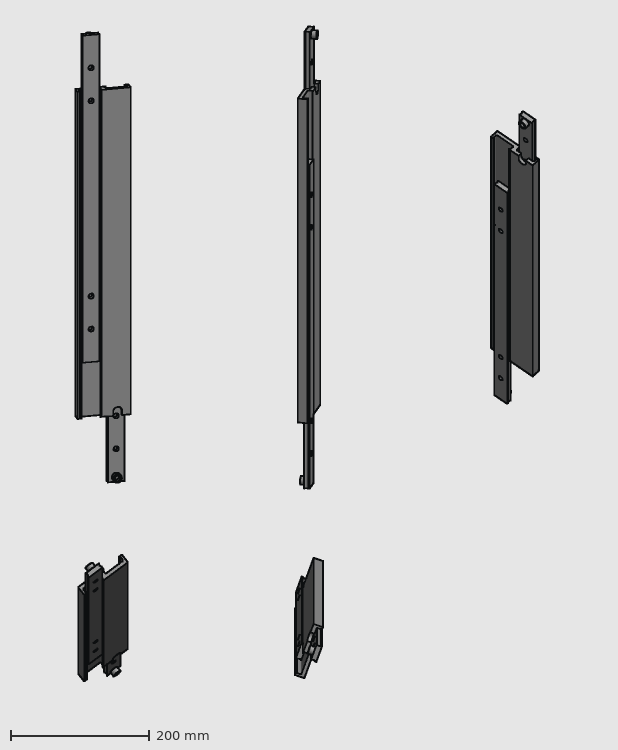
import cadquery as cq

total_length = 689.0
member_length = 499.5
housing_width = 80.0
housing_thickness = 14.5
housing_middle_z = 9.0
channel_offset = 20.0

rail_width = 25.0
rail_thickness = 8.0
rail_face = 8.6
rail_back = rail_face - rail_thickness
groove_depth = 1.5
groove_front_land = 2.0
groove_back_land = 1.0

opening_clearance = 1.7
opening_width = rail_width + 2 * opening_clearance
channel_width = 32.5
channel_floor = -1.0
channel_corner_radius = 1.5
lip_thickness = 1.0

pin_diameter = 13.0
pin_bore_diameter = 8.0
pin_end_distance = 7.5
notch_width = 14.0
notch_depth = 13.0

hole_diameter = 7.5
hole_pitch = 50.0

half_thickness = housing_thickness / 2
half_member = member_length / 2
housing_bottom = housing_middle_z - half_member
housing_top = housing_middle_z + half_member
rail_middle_z = (total_length - member_length) / 2


def x_box(x_start, x_end, y_size, z_size, y, z):
    """Box between two X positions, centred on the given Y and Z."""
    box = cq.Workplane("XY").box(abs(x_end - x_start), y_size, z_size)
    return box.translate(((x_start + x_end) / 2, y, z))


def x_cylinder(x_start, x_end, diameter, y, z):
    """Cylinder along X between two X positions."""
    plane = cq.Workplane("YZ", origin=(min(x_start, x_end), y, z))
    return plane.circle(diameter / 2).extrude(abs(x_end - x_start))


def cut_channel(body, side):
    """Lipped channel for the rail that faces X = side."""
    y = -side * channel_offset
    floor = side * channel_floor
    cavity = x_box(floor, side * (half_thickness - lip_thickness),
                   channel_width, member_length, y, housing_middle_z)
    floor_edges = "<X" if side > 0 else ">X"
    cavity = cavity.faces(floor_edges).edges("|Z").fillet(channel_corner_radius)
    opening = x_box(floor, side * half_thickness, opening_width, member_length, y, housing_middle_z)
    return body.cut(cavity).cut(opening)


def cut_notch(body, side):
    """Round-bottomed notch behind a channel, at the end where its rail slides out."""
    y = -side * channel_offset
    end_z = housing_top if side > 0 else housing_bottom
    round_z = end_z - side * (notch_depth - notch_width / 2)
    outside = -side * half_thickness
    floor = side * channel_floor
    slot = x_box(outside, floor, notch_width, abs(end_z - round_z), y, (end_z + round_z) / 2)
    return body.cut(slot).cut(x_cylinder(outside, floor, notch_width, y, round_z))


def make_housing():
    body = x_box(-half_thickness, half_thickness, housing_width, member_length, 0, housing_middle_z)
    for side in (-1, 1):
        body = cut_channel(body, side)
        body = cut_notch(body, side)
    return body


def rail_bar(side, y, z):
    """Straight bar with a rounded groove along each narrow side."""
    half_width = rail_width / 2
    face = side * rail_face
    back = side * rail_back
    groove_front = side * (rail_face - groove_front_land)
    groove_back = side * (rail_back + groove_back_land)
    groove_middle = (groove_front + groove_back) / 2
    groove_y = half_width - groove_depth
    profile = (
        cq.Workplane("XY", origin=(0, y, z - half_member))
        .moveTo(back, -half_width)
        .lineTo(groove_back, -half_width)
        .threePointArc((groove_middle, -groove_y), (groove_front, -half_width))
        .lineTo(face, -half_width)
        .lineTo(face, half_width)
        .lineTo(groove_front, half_width)
        .threePointArc((groove_middle, groove_y), (groove_back, half_width))
        .lineTo(back, half_width)
        .close()
    )
    return profile.extrude(member_length)


def make_rail(side):
    """Rail facing X = side, sliding towards Z = side, with its hollow stop pin."""
    y = -side * channel_offset
    middle_z = side * rail_middle_z
    pin_z = side * (total_length / 2 - pin_end_distance)
    back = side * rail_back
    pin_tip = -side * half_thickness
    rail = rail_bar(side, y, middle_z)
    rail = rail.union(x_cylinder(back, pin_tip, pin_diameter, y, pin_z))
    rail = rail.cut(x_cylinder(back, pin_tip, pin_bore_diameter, y, pin_z))
    for end in (-1, 1):
        for count in (1, 2):
            hole_z = middle_z + end * (half_member - count * hole_pitch)
            rail = rail.cut(x_cylinder(back, side * rail_face, hole_diameter, y, hole_z))
    return rail


housing = make_housing()
rails = [make_rail(side) for side in (-1, 1)]

result = cq.Compound.makeCompound([housing.solids().val(), *[rail.solids().val() for rail in rails]])